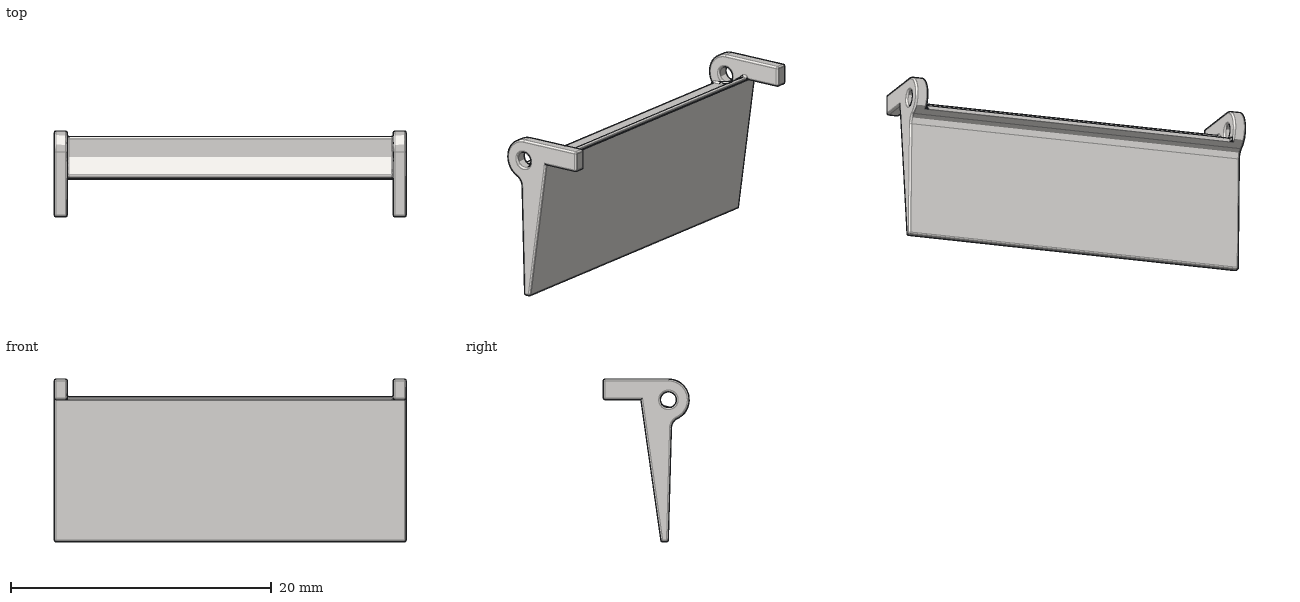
import cadquery as cq
import math

length = 27.0
lug_width = 1.0
hinge_radius = 1.6
hole_diameter = 1.2
arm_reach = 5.0
blade_depth = 10.9
edge_radius = 0.15
trough_back_radius = 0.2
trough_front_radius = 0.15

blade_front_y = -2.12
blade_back_y = 0.3
tip_front_y = -0.57
tip_back_y = 0.0
neck_radius = 0.8

trough_radius = 4.0
trough_center_y = 0.9
trough_floor_z = -0.8
trough_front_y = -2.0

region_back_y = 1.5
region_floor_z = -1.1
region_inner_y = -1.0
region_inner_z = -0.6

end_x = length / 2
lug_inner_x = end_x - lug_width
lug_middle_x = end_x - lug_width / 2
clearance = 2 * arm_reach
tolerance = 0.05


def prism(outline, x_start, x_end):
    """Extrude a closed outline of (Y, Z) points along X."""
    sketch = cq.Workplane("YZ", origin=(x_start, 0, 0)).polyline(outline).close()
    return sketch.extrude(x_end - x_start)


def cylinder(y, z, radius, x_start, x_end):
    """Cylinder along X."""
    sketch = cq.Workplane("YZ", origin=(x_start, y, z)).circle(radius)
    return sketch.extrude(x_end - x_start)


def box_around(y_range, z_range):
    """Selector for everything whose center lies in the given Y and Z ranges."""
    return cq.selectors.BoxSelector(
        (-length, y_range[0], z_range[0]), (length, y_range[1], z_range[1])
    )


def full_section(x_start, x_end):
    """Barrel, arm and blade together, with a rounded neck behind the barrel."""
    barrel = cylinder(0, 0, hinge_radius, x_start, x_end)
    arm_and_blade = prism(
        [
            (0, hinge_radius),
            (-arm_reach, hinge_radius),
            (-arm_reach, 0),
            (blade_front_y, 0),
            (tip_front_y, -blade_depth),
            (tip_back_y, -blade_depth),
            (blade_back_y, 0),
        ],
        x_start,
        x_end,
    )
    neck = box_around((tolerance, blade_back_y), (-1.1 * hinge_radius, -0.9 * hinge_radius))
    return barrel.union(arm_and_blade).edges("|X").edges(neck).fillet(neck_radius)


def trough_space(x_start, x_end):
    """Cylinder whose underside is the trough."""
    center_z = trough_floor_z + trough_radius
    return cylinder(trough_center_y, center_z, trough_radius, x_start, x_end)


def arm_space(x_start, x_end):
    """Region ahead of the trough that the arms occupy on the lugs."""
    return prism(
        [
            (trough_front_y, 0),
            (-clearance, 0),
            (-clearance, clearance),
            (trough_front_y, clearance),
        ],
        x_start,
        x_end,
    )


def make_blade():
    """Blade with a trough along its top, ending halfway through each lug."""
    blade = full_section(-lug_middle_x, lug_middle_x)
    blade = blade.cut(trough_space(-lug_middle_x, lug_middle_x))
    blade = blade.cut(arm_space(-lug_middle_x, lug_middle_x)).clean()
    back_edge = box_around((hinge_radius / 2, hinge_radius), (-0.85 * hinge_radius, 0))
    front_edge = box_around((blade_front_y, trough_front_y + tolerance), (tolerance, hinge_radius))
    blade = blade.edges("|X").edges(back_edge).fillet(trough_back_radius)
    blade = blade.edges("|X").edges(front_edge).fillet(trough_front_radius)
    return blade.faces("<Z").edges("|X").fillet(edge_radius)


def make_lug():
    """Left end plate with a pin hole, rounded along both faces, the arm end and the tip."""
    lug = full_section(-end_x, -lug_inner_x)
    lug = lug.faces("<X or >X or <Y or <Z").edges().fillet(edge_radius)
    lug = lug.cut(cylinder(0, 0, hole_diameter / 2, -end_x, -lug_inner_x))
    hole_edges = box_around((-tolerance, tolerance), (-tolerance, tolerance))
    return lug.edges(hole_edges).fillet(edge_radius)


def upper_region(x_start, x_end):
    """Block holding the space between the lugs and the top of the blade."""
    return prism(
        [
            (-clearance, 0),
            (-clearance, clearance),
            (region_back_y, clearance),
            (region_back_y, region_floor_z),
            (trough_center_y, region_floor_z),
            (region_inner_y, region_inner_z),
            (trough_front_y, 0),
        ],
        x_start,
        x_end,
    )


def make_trough_fillet(blade):
    """Concave fillet between the top of the blade and the inner face of the left lug."""
    strip_end_x = -lug_inner_x + edge_radius
    strip = full_section(-lug_inner_x, strip_end_x)
    strip = strip.intersect(upper_region(-lug_inner_x, strip_end_x))
    space = upper_region(-lug_inner_x, lug_inner_x).cut(blade)
    blade_top = space.faces("<X").edges("not %LINE")
    return strip.cut(blade_top.fillet(edge_radius))


blade = make_blade()
left_end = make_lug().union(make_trough_fillet(blade))
result = blade.union(left_end).union(left_end.mirror("YZ"))